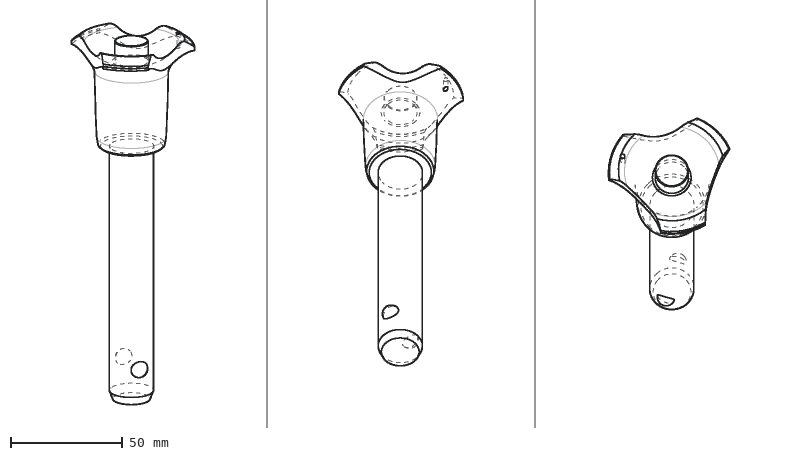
import cadquery as cq
import math


pin_radius = 10.0
pin_length = 120.4
tip_radius = 8.5
tip_length = 4.0

ball_radius = 4.0
ball_reach = 12.7
ball_tip_distance = 17.0
ball_height = ball_tip_distance - pin_length

handle_height = 50.8
shoulder_radius = 14.0
base_radius = 15.1
base_lip = 0.9
base_round_height = 4.3
body_low_radius = 15.7
neck_radius = 16.7
body_bulge = 0.15
neck_height = handle_height - 15.0

rim_radius = 28.55
rim_bottom = handle_height - 5.3
rim_top = handle_height - 3.2
rim_edge_height = 0.9
rim_edge_inset = 0.5
bevel_radius = 24.0
flare_mid_radius = 20.0
flare_mid_height = handle_height - 8.9

lip_land = 0.1
lip_inner_radius = 21.4
lip_drop = 1.3
bowl_mid_radius = 18.5
bowl_mid_depth = 4.7
bowl_floor_radius = 8.7
bowl_depth = 10.3

button_radius = 7.5
button_top = handle_height - 0.7
button_chamfer = 0.3

scallop_distance = 18.5
front_scallop_radius = 59.0
side_scallop_radius = 37.5
front_direction = 270
side_directions = (30, 150)

lanyard_hole_diameter = 2.0
lanyard_hole_distance = 23.1


def make_pin():
    profile = (
        cq.Workplane("XZ")
        .moveTo(0, -pin_length)
        .lineTo(tip_radius, -pin_length)
        .lineTo(pin_radius, tip_length - pin_length)
        .lineTo(pin_radius, 0)
        .lineTo(0, 0)
        .close()
    )
    return profile.revolve(360, (0, 0, 0), (0, 1, 0))


def make_ball(side):
    ball_center = side * (ball_reach - ball_radius)
    return cq.Workplane("XY").sphere(ball_radius).translate((ball_center, 0, ball_height))


def make_handle():
    body_mid_radius = (body_low_radius + neck_radius) / 2 + body_bulge
    body_mid_height = (base_round_height + neck_height) / 2
    bowl_floor = handle_height - bowl_depth
    profile = (
        cq.Workplane("XZ")
        .moveTo(0, 0)
        .lineTo(shoulder_radius, 0)
        .lineTo(base_radius, base_lip)
        .lineTo(body_low_radius, base_round_height)
        .threePointArc((body_mid_radius, body_mid_height), (neck_radius, neck_height))
        .threePointArc((flare_mid_radius, flare_mid_height), (rim_radius, rim_bottom))
        .lineTo(rim_radius, rim_top - rim_edge_height)
        .lineTo(rim_radius - rim_edge_inset, rim_top)
        .lineTo(bevel_radius, handle_height)
        .lineTo(bevel_radius - lip_land, handle_height)
        .tangentArcPoint((lip_inner_radius, handle_height - lip_drop), relative=False)
        .threePointArc((bowl_mid_radius, handle_height - bowl_mid_depth), (bowl_floor_radius, bowl_floor))
        .lineTo(0, bowl_floor)
        .close()
    )
    return profile.revolve(360, (0, 0, 0), (0, 1, 0))


def make_scallop(direction, radius):
    center_distance = scallop_distance + radius
    center_x = center_distance * math.cos(math.radians(direction))
    center_y = center_distance * math.sin(math.radians(direction))
    return cq.Workplane("XY").center(center_x, center_y).circle(radius).extrude(handle_height)


def make_lanyard_hole():
    hole = cq.Workplane("XY").center(0, lanyard_hole_distance).circle(lanyard_hole_diameter / 2)
    return hole.extrude(handle_height)


def make_button():
    button = cq.Workplane("XY").circle(button_radius).extrude(button_top)
    return button.faces(">Z").chamfer(button_chamfer)


handle = make_handle().cut(make_scallop(front_direction, front_scallop_radius))
for side_direction in side_directions:
    handle = handle.cut(make_scallop(side_direction, side_scallop_radius))
handle = handle.cut(make_lanyard_hole())

result = handle.union(make_button()).union(make_pin())
for side in (-1, 1):
    result = result.union(make_ball(side))